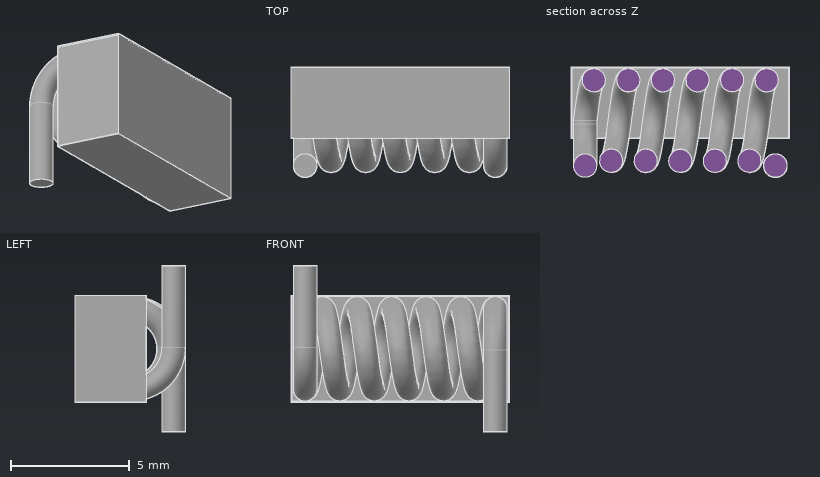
import cadquery as cq

wire_diameter = 1.0
wire_radius = wire_diameter / 2
coil_radius = 1.7
coil_length = 8.0
coil_turns = 5.5
coil_pitch = coil_length / coil_turns
coil_outer_radius = coil_radius + wire_radius

lead_offset = 1.9
lead_bend_radius = 1.75
lead_tip_height = 3.5
bend_start = lead_offset - lead_bend_radius
bend_end_height = lead_bend_radius - coil_radius

wall = 0.05
housing_length = 9.2
housing_depth = 3.0
housing_height = 2 * (coil_outer_radius + wall)
housing_back = coil_outer_radius + wall
housing_front = housing_back - housing_depth


def make_housing():
    outer = cq.Workplane("XY").box(housing_length, housing_depth, housing_height)
    hollow = outer.faces("<Y").shell(-wall, kind="intersection")
    return hollow.translate((0, housing_front + housing_depth / 2, 0))


def make_winding():
    """Right-handed helix, wound about Z and then turned so that it runs along X."""
    helix = cq.Workplane(cq.Wire.makeHelix(coil_pitch, coil_length, coil_radius))
    profile = cq.Workplane("XZ").center(coil_radius, 0).circle(wire_radius)
    winding = profile.sweep(helix, isFrenet=True)
    return winding.rotate((0, 0, 0), (0, 1, 0), 90).translate((-coil_length / 2, 0, 0))


def make_lower_lead():
    """Lead that leaves the bottom of the coil, bends and rises to its tip."""
    path = (
        cq.Workplane("YZ", origin=(-coil_length / 2, 0, 0))
        .moveTo(0, -coil_radius)
        .lineTo(-bend_start, -coil_radius)
        .radiusArc((-lead_offset, bend_end_height), lead_bend_radius)
        .lineTo(-lead_offset, lead_tip_height)
    )
    profile = cq.Workplane("XZ", origin=(-coil_length / 2, 0, -coil_radius)).circle(wire_radius)
    return profile.sweep(path)


def make_coil():
    lower_lead = make_lower_lead()
    upper_lead = lower_lead.rotate((0, 0, 0), (0, 1, 0), 180)
    return make_winding().union(lower_lead).union(upper_lead)


housing = make_housing()
coil = make_coil()

result = cq.Compound.makeCompound([housing.val(), *coil.solids().vals()])